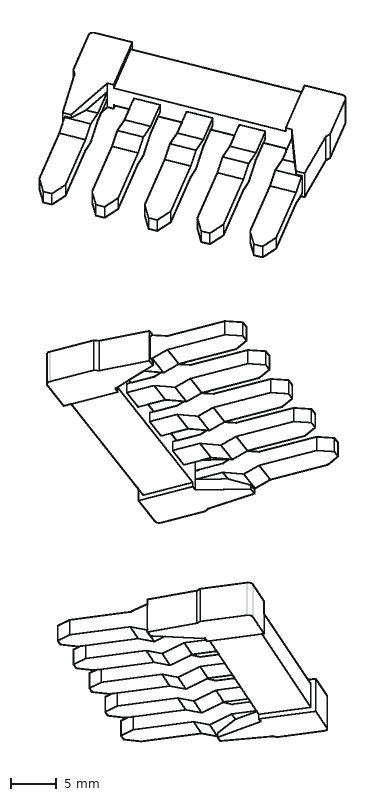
import cadquery as cq

total_width = 29.6
total_length = 22.73
total_height = 4.0

bar_height = 2.87
bar_back = -0.55
bar_front = -6.5

arm_width = 4.88
arm_corner_radius = 0.53
arm_shoulder_start = -5.83
arm_shoulder_end = -6.3
arm_shoulder_depth = 0.33
arm_tip_outer = 0.85
arm_tip_inner = 1.85
arm_tip_y = -12.1

leg_count = 5
leg_pitch = 6.07
leg_width = 3.02
leg_height = 1.85
neck_height = 1.18
leg_tip_width = 1.0
leg_taper_start = -21.05
bulge_height = 3.1
bulge_start = -9.8
bulge_peak = -12.3
bulge_end = -14.15
leg_overlap = 0.6

side = total_width / 2
leg_span = (leg_count - 1) * leg_pitch
leg_back = bar_front + leg_overlap
arm_slope_x = -leg_span / 2 + leg_width / 2


def extrude_centred(outline, height):
    """Extrude an XY outline equally above and below Z = 0."""
    return cq.Workplane("XY").polyline(outline).close().extrude(height / 2, both=True)


def make_bar():
    left = -side + arm_width
    outline = [(left, bar_back), (-left, bar_back), (-left, bar_front), (left, bar_front)]
    return extrude_centred(outline, bar_height)


def make_left_arm():
    inner = -side + arm_width
    outline = [
        (-side, 0),
        (inner, 0),
        (inner, bar_front),
        (arm_slope_x, bar_front),
        (-side + arm_tip_inner, arm_tip_y),
        (-side + arm_tip_outer, arm_tip_y),
        (-side + arm_shoulder_depth, arm_shoulder_end),
        (-side, arm_shoulder_start),
    ]
    arm = extrude_centred(outline, total_height)
    back_outer_corner = cq.selectors.NearestToPointSelector((-side, 0, 0))
    return arm.edges("|Z").edges(back_outer_corner).fillet(arm_corner_radius)


def make_leg():
    """Leg centred on X = 0: a pointed outline crossed with a bulged side profile."""
    half_width = leg_width / 2
    half_tip = leg_tip_width / 2
    outline = [
        (-half_width, leg_back),
        (half_width, leg_back),
        (half_width, leg_taper_start),
        (half_tip, -total_length),
        (-half_tip, -total_length),
        (-half_width, leg_taper_start),
    ]
    upper_profile = [
        (leg_back, neck_height / 2),
        (bulge_start, neck_height / 2),
        (bulge_peak, bulge_height / 2),
        (bulge_end, leg_height / 2),
        (-total_length, leg_height / 2),
    ]
    lower_profile = [(y, -z) for y, z in reversed(upper_profile)]
    profile = cq.Workplane("YZ").polyline(upper_profile + lower_profile).close()
    side_shape = profile.extrude(half_width, both=True)
    return extrude_centred(outline, bulge_height).intersect(side_shape)


left_arm = make_left_arm()
result = make_bar().union(left_arm).union(left_arm.mirror("YZ"))

leg = make_leg()
for index in range(leg_count):
    leg_x = index * leg_pitch - leg_span / 2
    result = result.union(leg.translate((leg_x, 0, 0)))